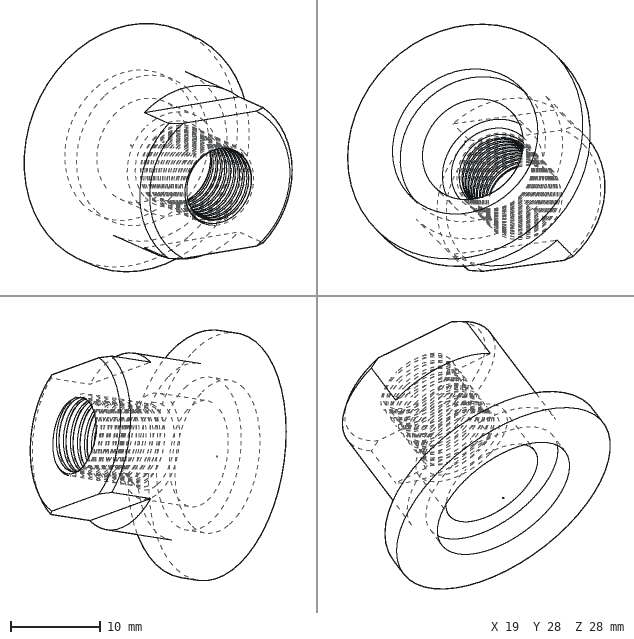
import cadquery as cq
import math

length = 19.0
flange_diameter = 28.0
flange_rim_length = 2.25
flange_cone_angle = math.radians(15)
rim_radius = 0.95
neck_radius = 0.5
body_diameter = 20.0
end_chamfer = 0.8
flat_width = 15.7
flat_length = 6.0

recess_diameter = 17.3
recess_depth = 2.5
bore_diameter = 12.0
bore_depth = 9.0
countersink_diameter = 9.9
countersink_length = 1.2
port_diameter = 8.38
bore_seam_angle = -45.0

thread_pitch = 25.4 / 27
thread_depth = 0.5
thread_half_angle = math.radians(30)
thread_crest_overlap = 0.08
thread_lead = 0.6 * thread_pitch
thread_start_angle = 20.0

mark_diameter = 0.1
mark_length = 0.1

AXIS_START = (0, 0, 0)
AXIS_END = (1, 0, 0)


def arc_point(center, radius, angle):
    return (center[0] + radius * math.cos(angle), center[1] + radius * math.sin(angle))


def revolve_about_x(profile):
    return profile.close().revolve(360, AXIS_START, AXIS_END)


def make_outside():
    flange_r = flange_diameter / 2
    body_r = body_diameter / 2
    arc_middle_angle = (math.pi / 2 + flange_cone_angle) / 2

    rim_center = (flange_rim_length, flange_r - rim_radius)
    cone_start = arc_point(rim_center, rim_radius, flange_cone_angle)
    cone_end_r = body_r + neck_radius * (1 - math.sin(flange_cone_angle))
    cone_end_x = cone_start[0] + (cone_start[1] - cone_end_r) * math.tan(flange_cone_angle)
    neck_center = (cone_end_x + neck_radius * math.cos(flange_cone_angle), body_r + neck_radius)

    profile = (
        cq.Workplane("XY")
        .lineTo(0, flange_r)
        .lineTo(flange_rim_length, flange_r)
        .threePointArc(arc_point(rim_center, rim_radius, arc_middle_angle), cone_start)
        .lineTo(cone_end_x, cone_end_r)
        .threePointArc(
            arc_point(neck_center, neck_radius, math.pi + arc_middle_angle),
            (neck_center[0], body_r),
        )
        .lineTo(length - end_chamfer, body_r)
        .lineTo(length, body_r - end_chamfer)
        .lineTo(length, 0)
    )
    return revolve_about_x(profile)


def make_bore():
    profile = (
        cq.Workplane("XY")
        .lineTo(0, recess_diameter / 2)
        .lineTo(recess_depth, recess_diameter / 2)
        .lineTo(recess_depth, bore_diameter / 2)
        .lineTo(bore_depth, bore_diameter / 2)
        .lineTo(bore_depth, countersink_diameter / 2)
        .lineTo(bore_depth + countersink_length, port_diameter / 2)
        .lineTo(length, port_diameter / 2)
        .lineTo(length, 0)
    )
    return revolve_about_x(profile).rotate(AXIS_START, AXIS_END, bore_seam_angle)


def make_thread_cutter():
    """V-shaped helical groove, wound about Z and then laid along X."""
    start_x = bore_depth - thread_lead
    cutter_length = length + thread_pitch - start_x
    inner_radius = port_diameter / 2 - thread_crest_overlap
    groove_depth = thread_depth + thread_crest_overlap
    half_width = groove_depth * math.tan(thread_half_angle)
    helix = cq.Wire.makeHelix(thread_pitch, cutter_length, inner_radius, lefthand=True)
    cutter = (
        cq.Workplane("XZ")
        .moveTo(inner_radius, -half_width)
        .lineTo(inner_radius + groove_depth, 0)
        .lineTo(inner_radius, half_width)
        .close()
        .sweep(cq.Workplane(helix), isFrenet=True)
        .rotate((0, 0, 0), (0, 0, 1), thread_start_angle)
    )
    return cutter.rotate((0, 0, 0), (0, 1, 0), 90).translate((start_x, 0, 0))


def cut_wrench_flats(body):
    block = cq.Workplane("XY").box(flat_length, body_diameter, body_diameter)
    block_x = length - flat_length / 2
    block_z = (flat_width + body_diameter) / 2
    for side in (-1, 1):
        body = body.cut(block.translate((block_x, 0, side * block_z)))
    return body


def make_fitting():
    body = make_outside().cut(make_bore())
    body = body.cut(make_thread_cutter())
    return cut_wrench_flats(body)


def make_center_mark():
    return cq.Workplane("YZ").circle(mark_diameter / 2).extrude(mark_length)


fitting = make_fitting()
center_mark = make_center_mark()

result = cq.Compound.makeCompound([fitting.val(), center_mark.val()])